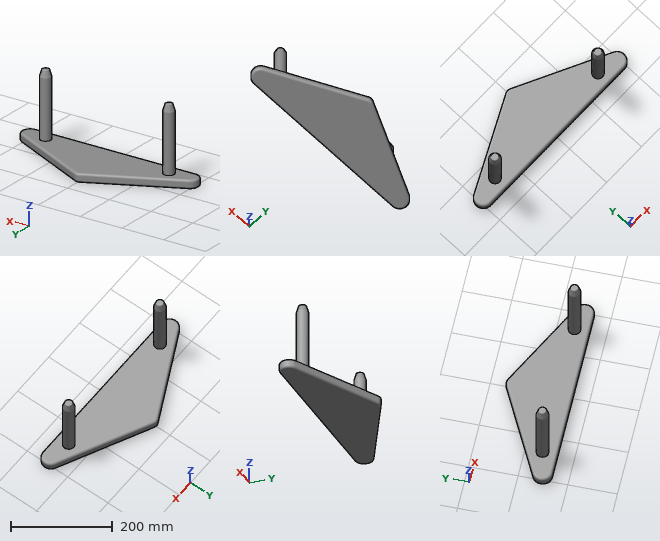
import cadquery as cq
import math

plate_length = 422.5
plate_depth = 135.2
plate_thickness = 19.5
plate_edge_radius = 5.0
end_radius = 20.0
apex_radius = 15.2

total_height = 169
pin_spacing = 295.0
pin_y = 30.0
pin_diameter = 25.0
pin_taper_length = 15.2
pin_tip_diameter = 17
pin_tip_flat_diameter = 12.5

end_x = plate_length / 2 - end_radius
apex_y = plate_depth - apex_radius


def make_plate():
    """Triangle with three rounded corners and rounded top and bottom rims."""
    center_rise = apex_y - end_radius
    center_distance = math.hypot(end_x, center_rise)
    slope = math.atan2(center_rise, end_x) + math.asin((apex_radius - end_radius) / center_distance)
    normal_x = math.sin(slope)
    normal_y = math.cos(slope)
    end_tangent_x = end_x + end_radius * normal_x
    end_tangent_y = end_radius + end_radius * normal_y
    apex_tangent_x = apex_radius * normal_x
    apex_tangent_y = apex_y + apex_radius * normal_y

    return (
        cq.Workplane("XY")
        .moveTo(-end_x, 0)
        .lineTo(end_x, 0)
        .threePointArc((plate_length / 2, end_radius), (end_tangent_x, end_tangent_y))
        .lineTo(apex_tangent_x, apex_tangent_y)
        .threePointArc((0, plate_depth), (-apex_tangent_x, apex_tangent_y))
        .lineTo(-end_tangent_x, end_tangent_y)
        .threePointArc((-plate_length / 2, end_radius), (-end_x, 0))
        .close()
        .extrude(plate_thickness)
        .faces("<Z or >Z")
        .edges()
        .fillet(plate_edge_radius)
    )


def make_pin(x):
    """Round post with a tapered nose and a rounded tip, standing on the plate."""
    tip_rounding = (pin_tip_diameter - pin_tip_flat_diameter) / 2
    arc_middle = tip_rounding * math.sqrt(0.5)
    flat_radius = pin_tip_flat_diameter / 2
    rounding_z = total_height - tip_rounding
    return (
        cq.Workplane("XZ")
        .moveTo(0, plate_thickness)
        .lineTo(pin_diameter / 2, plate_thickness)
        .lineTo(pin_diameter / 2, total_height - pin_taper_length)
        .lineTo(pin_tip_diameter / 2, rounding_z)
        .threePointArc((flat_radius + arc_middle, rounding_z + arc_middle), (flat_radius, total_height))
        .lineTo(0, total_height)
        .close()
        .revolve(360, (0, 0, 0), (0, 1, 0))
        .translate((x, pin_y, 0))
    )


plate = make_plate()
pins = [make_pin(side * pin_spacing / 2) for side in (-1, 1)]

result = cq.Compound.makeCompound([plate.val(), *[pin.val() for pin in pins]])